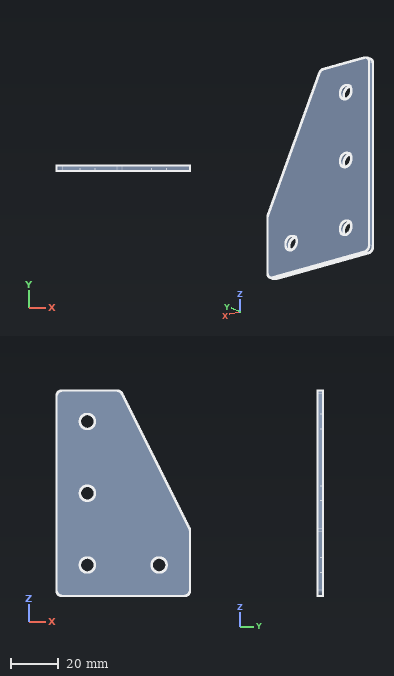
import cadquery as cq

height = 86.0
width = 56.0
thickness = 2.5
top_edge = 26.8
right_edge = 27.7
corner_radius = 2.5

hole_diameter = 6.2
hole_inset = 13.0
hole_pitch = 30.0
hole_steps = [(0, 0), (0, 1), (0, 2), (1, 0)]
hole_centers = [
    (hole_inset + column * hole_pitch, hole_inset + row * hole_pitch)
    for column, row in hole_steps
]


def make_plate():
    """Flat plate with one sloping edge and all five corners rounded."""
    outline = [(0, 0), (width, 0), (width, right_edge), (top_edge, height), (0, height)]
    plate = cq.Workplane("XZ").polyline(outline).close().extrude(thickness)
    return plate.edges("|Y").fillet(corner_radius)


def make_hole_cutters():
    """Cylinders running through the full plate thickness."""
    return cq.Workplane("XZ").pushPoints(hole_centers).circle(hole_diameter / 2).extrude(thickness)


result = make_plate().cut(make_hole_cutters())